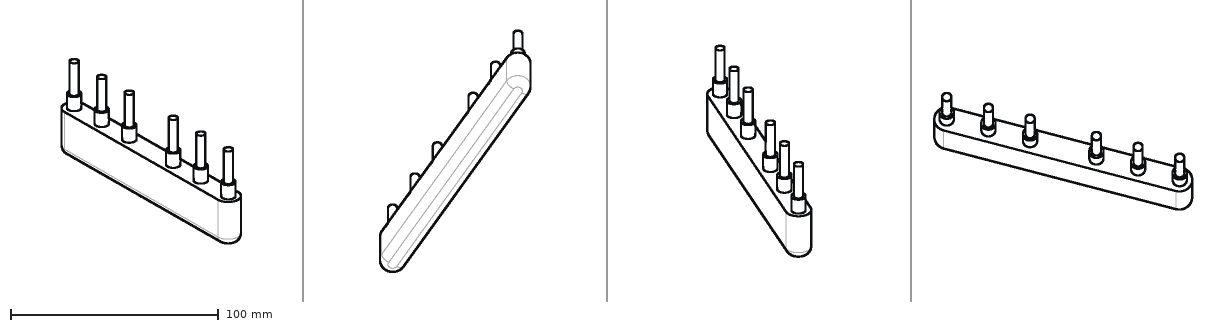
import cadquery as cq

body_length = 128.9
body_width = 12.5
body_height = 24.4
bottom_fillet = 4.0

collar_diameter = 7.0
collar_height = 7.7
pin_diameter = 4.5
total_height = 49.9
pin_height = total_height - body_height - collar_height
pins_per_group = 3
pin_pitch = 20.9
inner_pin_offset = 16.6


def make_body():
    slab = cq.Workplane("XY").slot2D(body_length, body_width).extrude(body_height)
    return slab.faces("<Z").edges().fillet(bottom_fillet)


def pin_centres():
    offsets = [inner_pin_offset + i * pin_pitch for i in range(pins_per_group)]
    return [(side * offset, 0) for side in (-1, 1) for offset in offsets]


def add_pins(body):
    centres = pin_centres()
    collar_top = body_height + collar_height
    collars = (
        cq.Workplane("XY", origin=(0, 0, body_height))
        .pushPoints(centres)
        .circle(collar_diameter / 2)
        .extrude(collar_height)
    )
    pins = (
        cq.Workplane("XY", origin=(0, 0, collar_top))
        .pushPoints(centres)
        .circle(pin_diameter / 2)
        .extrude(pin_height)
    )
    return body.union(collars).union(pins)


result = add_pins(make_body())